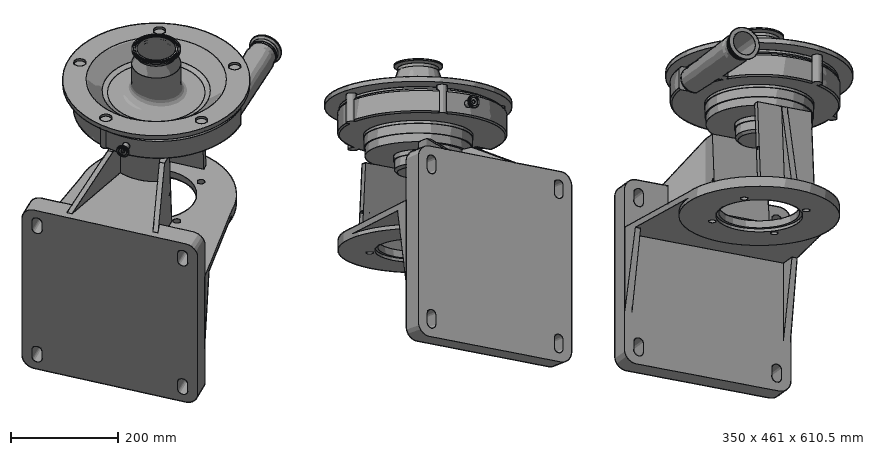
import cadquery as cq
import math


plate_width = 350.0
plate_height = 370.0
plate_thickness = 40.0
plate_corner_radius = 25.0
plate_outer_y = -250.0
plate_inner_y = plate_outer_y + plate_thickness
slot_width = 20.0
slot_length = 36.0
slot_spacing_x = 290.0
slot_spacing_z = 300.0

ring_radius = 150.0
ring_thickness = 20.0
ring_top_z = 270.5
shelf_thickness = 12.0
shelf_bottom_z = ring_top_z - shelf_thickness
shelf_root_half_width = 174.0
motor_bore_diameter = 151.0
motor_pilot_diameter = 162.0
motor_pilot_depth = 6.0
motor_bolt_circle = 184.0
motor_bolt_hole_diameter = 14.0
motor_bolt_count = 4
motor_bolt_first_angle = 45.0

under_rib_inner_x = 159.0
under_rib_reach = 35.0
under_rib_bottom_z = 103.0

pedestal_top_z = 433.5
pedestal_half_width = 56.5
pedestal_front_y = -108.0
pedestal_front_radius = 94.0
gusset_angle = 15.0
gusset_thickness = 10.0
gusset_end_y = -236.0
window_front_bottom_y = -69.0
window_back_bottom_y = 103.0
window_lean = 12.5
back_wall_thickness = 12.0
back_rib_thickness = 12.0
back_rib_foot_y = 143.0
guard_hole_diameter = 5.0
guard_hole_depth = 15.0
guard_hole_z = 340.5
guard_hole_front_y = -79.5
guard_hole_back_y = 102.5

housing_lower_radius = 99.5
housing_upper_radius = 101.5
housing_step_z = 450.0
housing_top_z = 468.5
stub_radius = 46.0
stub_end_radius = 44.5
stub_step_z = 424.5
stub_bottom_z = 402.0
stub_chamfer = 5.0

volute_bottom_z = 474.0
volute_hub_radius = 102.5
volute_top_z = 521.0
volute_mid_z = 497.5
volute_start_radius = 146.0
volute_growth_per_turn = 30.0
spiral_turns = 0.75
spiral_steps = 9
volute_top_bevel = 5.0
volute_bottom_bevel = 3.0
cover_lip_radius = 148.0
cover_lip_top_z = 526.0
cover_neck_radius = 140.0

flange_radius = 175.0
flange_bottom_z = 529.0
flange_top_z = 538.5
dish_rim_radius = 131.0
dish_cone_top_radius = 128.0
dish_cone_bottom_radius = 101.0
dish_floor_radius = 91.0
dish_rim_depth = 2.0
dish_cone_bottom_z = 512.0
dish_floor_z = 508.0
inlet_root_fillet = 20.0
inlet_radius = 46.0
inlet_cone_bottom_z = 576.0
inlet_cone_top_z = 598.0
inlet_neck_radius = 38.5
inlet_top_z = 610.5
inlet_bore_radius = 36.0
inlet_bore_wide_radius = 41.0
inlet_flare_top_z = 584.0
inlet_flare_bottom_z = 566.0
inlet_seal_groove_radius = 41.0
inlet_seal_groove_width = 3.0
inlet_seal_groove_depth = 1.5
ferrule_thickness = 3.0
ferrule_bevel = 3.5
inlet_ferrule_radius = 45.5

bolt_circle_radius = 152.0
bolt_count = 5
bolt_first_angle = 36.0
bolt_recess_diameter = 23.0
bolt_recess_depth = 5.0
pillar_diameter = 20.0

nozzle_x = 140.0
nozzle_end_y = 211.0
nozzle_ferrule_radius = 31.5
nozzle_neck_radius = 27.0
nozzle_neck_length = 34.5
nozzle_groove_start = 13.5
nozzle_groove_end = 18.5
nozzle_groove_depth = 0.8
nozzle_cone_start = 27.5
nozzle_collar_radius = 28.5
nozzle_root_radius = 25.0
nozzle_bore_radius = 23.0

drain_stem_radius = 7.0
drain_flange_radius = 12.0
drain_flange_thickness = 4.0
drain_end_y = -182.0
drain_bore_radius = 3.5
drain_recess_radius = 8.0
drain_recess_depth = 1.5
drain_flange_bevel = 1.0


def cylinder(radius, bottom_z, top_z):
    return cq.Workplane("XY").workplane(offset=bottom_z).circle(radius).extrude(top_z - bottom_z)


def mirrored_in_x(body):
    return body.union(body.mirror("YZ"))


def along_y(start_y, x, z):
    """Workplane whose extrusion runs toward +Y."""
    return cq.Workplane(cq.Plane(origin=(x, start_y, z), xDir=(1, 0, 0), normal=(0, 1, 0)))


def make_wall_plate():
    plate = cq.Workplane("XY").box(plate_width, plate_thickness, plate_height)
    plate = plate.edges("|Y").fillet(plate_corner_radius)
    slots = (
        cq.Workplane("XZ")
        .rarray(slot_spacing_x, slot_spacing_z, 2, 2)
        .slot2D(slot_length, slot_width, 90)
        .extrude(plate_thickness, both=True)
    )
    middle_y = (plate_outer_y + plate_inner_y) / 2
    return plate.cut(slots).translate((0, middle_y, plate_height / 2))


def make_shelf_slab(bottom_z):
    """Tapered shelf outline, filled from bottom_z up to the top of the shelf."""
    return (
        cq.Workplane("XY")
        .workplane(offset=bottom_z)
        .moveTo(-ring_radius, 0)
        .lineTo(-shelf_root_half_width, plate_inner_y)
        .lineTo(shelf_root_half_width, plate_inner_y)
        .lineTo(ring_radius, 0)
        .close()
        .extrude(ring_top_z - bottom_z)
    )


def make_shelf():
    ring = cylinder(ring_radius, ring_top_z - ring_thickness, ring_top_z)
    shelf = make_shelf_slab(shelf_bottom_z)
    bore = cylinder(motor_bore_diameter / 2, 0, ring_top_z)
    pilot_bottom_z = ring_top_z - ring_thickness
    pilot = cylinder(motor_pilot_diameter / 2, pilot_bottom_z, pilot_bottom_z + motor_pilot_depth)
    bolts = (
        cq.Workplane("XY")
        .polarArray(motor_bolt_circle / 2, motor_bolt_first_angle, 360, motor_bolt_count)
        .circle(motor_bolt_hole_diameter / 2)
        .extrude(ring_top_z)
    )
    return ring.union(shelf).cut(bore).cut(pilot).cut(bolts)


def make_under_ribs():
    rib = (
        cq.Workplane("YZ")
        .workplane(offset=under_rib_inner_x)
        .moveTo(plate_inner_y, shelf_bottom_z)
        .lineTo(plate_inner_y + under_rib_reach, shelf_bottom_z)
        .lineTo(plate_inner_y, under_rib_bottom_z)
        .close()
        .extrude(shelf_root_half_width - under_rib_inner_x)
    )
    return mirrored_in_x(rib).intersect(make_shelf_slab(under_rib_bottom_z))


def make_gusset_side_profile():
    """Slab bounding the front wall and gussets: full height at the wall, sloping to the plate."""
    return (
        cq.Workplane("YZ")
        .moveTo(0, ring_top_z)
        .lineTo(0, pedestal_top_z)
        .lineTo(pedestal_front_y, pedestal_top_z)
        .lineTo(gusset_end_y, plate_height)
        .lineTo(plate_inner_y, plate_height)
        .lineTo(plate_inner_y, ring_top_z)
        .close()
        .extrude(plate_width, both=True)
    )


def make_front_pedestal():
    height = pedestal_top_z - ring_top_z
    base = cq.Workplane("XY").workplane(offset=ring_top_z)
    spread = math.tan(math.radians(gusset_angle))
    gusset_x_width = gusset_thickness / math.cos(math.radians(gusset_angle))
    end_outer_x = pedestal_half_width + (pedestal_front_y - gusset_end_y) * spread
    end_inner_x = end_outer_x - gusset_x_width
    front_inner_x = pedestal_half_width - gusset_x_width
    axis_inner_x = front_inner_x + pedestal_front_y * spread
    wall = base.polyline(
        [
            (-pedestal_half_width, 0),
            (-pedestal_half_width, pedestal_front_y),
            (-end_outer_x, gusset_end_y),
            (end_outer_x, gusset_end_y),
            (pedestal_half_width, pedestal_front_y),
            (pedestal_half_width, 0),
        ]
    ).close().extrude(height)
    between_gussets = base.polyline(
        [
            (-axis_inner_x, 0),
            (-end_inner_x, gusset_end_y),
            (end_inner_x, gusset_end_y),
            (axis_inner_x, 0),
        ]
    ).close().extrude(height)
    curved_core = cylinder(pedestal_front_radius, ring_top_z, pedestal_top_z)
    deck = base.rect(plate_width, -2 * gusset_end_y).extrude(plate_height - ring_top_z)
    window = (
        cq.Workplane("YZ")
        .moveTo(0, ring_top_z)
        .lineTo(window_front_bottom_y, ring_top_z)
        .lineTo(window_front_bottom_y - window_lean, pedestal_top_z)
        .lineTo(0, pedestal_top_z)
        .close()
        .extrude(plate_width, both=True)
    )
    body = wall.cut(between_gussets.cut(curved_core).cut(deck))
    return body.intersect(make_gusset_side_profile()).cut(window)


def make_back_pedestal():
    window_top_y = window_back_bottom_y - window_lean
    wall = (
        cq.Workplane("YZ")
        .moveTo(window_back_bottom_y, ring_top_z)
        .lineTo(window_top_y, pedestal_top_z)
        .lineTo(window_top_y + back_wall_thickness, pedestal_top_z)
        .lineTo(window_back_bottom_y + back_wall_thickness, ring_top_z)
        .close()
        .extrude(pedestal_half_width, both=True)
    )
    rib = (
        cq.Workplane("YZ")
        .moveTo(window_back_bottom_y, ring_top_z)
        .lineTo(window_top_y, pedestal_top_z)
        .lineTo(window_top_y + back_wall_thickness, pedestal_top_z)
        .lineTo(back_rib_foot_y, ring_top_z)
        .close()
        .extrude(back_rib_thickness / 2, both=True)
    )
    return wall.union(rib)


def make_guard_holes():
    holes = (
        cq.Workplane("YZ")
        .workplane(offset=pedestal_half_width - guard_hole_depth)
        .pushPoints([(guard_hole_front_y, guard_hole_z), (guard_hole_back_y, guard_hole_z)])
        .circle(guard_hole_diameter / 2)
        .extrude(guard_hole_depth)
    )
    return mirrored_in_x(holes)


def make_bearing_housing():
    lower = cylinder(housing_lower_radius, pedestal_top_z, housing_step_z)
    upper = cylinder(housing_upper_radius, housing_step_z, housing_top_z)
    stub = cylinder(stub_radius, stub_step_z, pedestal_top_z)
    stub_end = cylinder(stub_end_radius, stub_bottom_z, stub_step_z).faces("<Z").chamfer(stub_chamfer)
    return lower.union(upper).union(stub).union(stub_end)


def volute_point(turn):
    """Point on the casing spiral; it starts at +Y and runs by -X and -Y to +X."""
    radius = volute_start_radius + volute_growth_per_turn * turn
    angle = math.pi / 2 + 2 * math.pi * turn
    return (radius * math.cos(angle), radius * math.sin(angle))


def make_volute():
    spiral_points = [volute_point(spiral_turns * step / spiral_steps) for step in range(spiral_steps + 1)]
    spiral = (
        cq.Workplane("XY")
        .workplane(offset=volute_bottom_z)
        .lineTo(*spiral_points[0])
        .spline(spiral_points[1:], includeCurrent=True)
        .close()
        .extrude(volute_top_z - volute_bottom_z)
    )
    spiral = spiral.edges("%BSPLINE").edges(">Z").chamfer(volute_top_bevel)
    spiral = spiral.edges("%BSPLINE").edges("<Z").chamfer(volute_bottom_bevel)
    disc = cylinder(volute_start_radius, volute_bottom_z, volute_top_z)
    disc = disc.edges(">Z").chamfer(volute_top_bevel).edges("<Z").chamfer(volute_bottom_bevel)
    casing = spiral.union(disc)
    hub = cylinder(volute_hub_radius, housing_top_z, volute_bottom_z)
    lip = cylinder(cover_lip_radius, volute_top_z, cover_lip_top_z)
    neck = cylinder(cover_neck_radius, cover_lip_top_z, flange_bottom_z)
    return casing.union(hub).union(lip).union(neck)


def make_pillars():
    return (
        cq.Workplane("XY")
        .workplane(offset=volute_bottom_z)
        .polarArray(bolt_circle_radius, bolt_first_angle, 360, bolt_count)
        .circle(pillar_diameter / 2)
        .extrude(flange_bottom_z - volute_bottom_z)
    )


def make_bolt_recesses():
    return (
        cq.Workplane("XY")
        .workplane(offset=flange_top_z - bolt_recess_depth)
        .polarArray(bolt_circle_radius, bolt_first_angle, 360, bolt_count)
        .circle(bolt_recess_diameter / 2)
        .extrude(bolt_recess_depth)
    )


def make_dish():
    """Hollow of the cover around the inlet, ready to be cut away."""
    fillet_start_radius = inlet_radius + inlet_root_fillet
    fillet_middle = inlet_root_fillet * (1 - math.sqrt(0.5))
    return (
        cq.Workplane("XZ")
        .moveTo(inlet_radius, flange_top_z)
        .lineTo(inlet_radius, dish_floor_z + inlet_root_fillet)
        .threePointArc(
            (inlet_radius + fillet_middle, dish_floor_z + fillet_middle),
            (fillet_start_radius, dish_floor_z),
        )
        .lineTo(dish_floor_radius, dish_floor_z)
        .lineTo(dish_cone_bottom_radius, dish_cone_bottom_z)
        .lineTo(dish_cone_top_radius, flange_top_z - dish_rim_depth)
        .lineTo(dish_rim_radius, flange_top_z)
        .close()
        .revolve(360, (0, 0, 0), (0, 1, 0))
    )


def make_inlet():
    return (
        cq.Workplane("XZ")
        .moveTo(0, volute_top_z)
        .lineTo(inlet_radius, volute_top_z)
        .lineTo(inlet_radius, inlet_cone_bottom_z)
        .lineTo(inlet_neck_radius, inlet_cone_top_z)
        .lineTo(inlet_neck_radius, inlet_top_z - ferrule_thickness - ferrule_bevel)
        .lineTo(inlet_ferrule_radius, inlet_top_z - ferrule_thickness)
        .lineTo(inlet_ferrule_radius, inlet_top_z)
        .lineTo(0, inlet_top_z)
        .close()
        .revolve(360, (0, 0, 0), (0, 1, 0))
    )


def make_inlet_bore():
    return (
        cq.Workplane("XZ")
        .moveTo(0, volute_mid_z)
        .lineTo(inlet_bore_wide_radius, volute_mid_z)
        .lineTo(inlet_bore_wide_radius, inlet_flare_bottom_z)
        .lineTo(inlet_bore_radius, inlet_flare_top_z)
        .lineTo(inlet_bore_radius, inlet_top_z)
        .lineTo(0, inlet_top_z)
        .close()
        .revolve(360, (0, 0, 0), (0, 1, 0))
    )


def make_inlet_seal_groove():
    groove_bottom_z = inlet_top_z - inlet_seal_groove_depth
    outer = cylinder(inlet_seal_groove_radius + inlet_seal_groove_width / 2, groove_bottom_z, inlet_top_z)
    inner = cylinder(inlet_seal_groove_radius - inlet_seal_groove_width / 2, groove_bottom_z, inlet_top_z)
    return outer.cut(inner)


def make_nozzle():
    groove_radius = nozzle_neck_radius - nozzle_groove_depth
    body = (
        cq.Workplane("XY")
        .lineTo(nozzle_root_radius, 0)
        .lineTo(nozzle_collar_radius, nozzle_end_y - nozzle_neck_length)
        .lineTo(nozzle_neck_radius, nozzle_end_y - nozzle_cone_start)
        .lineTo(nozzle_neck_radius, nozzle_end_y - nozzle_groove_end)
        .lineTo(groove_radius, nozzle_end_y - nozzle_groove_end)
        .lineTo(groove_radius, nozzle_end_y - nozzle_groove_start)
        .lineTo(nozzle_neck_radius, nozzle_end_y - nozzle_groove_start)
        .lineTo(nozzle_neck_radius, nozzle_end_y - ferrule_thickness - ferrule_bevel)
        .lineTo(nozzle_ferrule_radius, nozzle_end_y - ferrule_thickness)
        .lineTo(nozzle_ferrule_radius, nozzle_end_y)
        .lineTo(0, nozzle_end_y)
        .close()
        .revolve(360, (0, 0, 0), (0, 1, 0))
    )
    return body.translate((nozzle_x, 0, volute_mid_z))


def make_drain():
    flange_inner_y = drain_end_y + drain_flange_thickness
    stem_length = -volute_start_radius - flange_inner_y
    flange = along_y(drain_end_y, 0, volute_mid_z).circle(drain_flange_radius).extrude(drain_flange_thickness)
    stem = along_y(flange_inner_y, 0, volute_mid_z).circle(drain_stem_radius).extrude(stem_length)
    bore = along_y(drain_end_y, 0, volute_mid_z).circle(drain_bore_radius).extrude(drain_flange_thickness)
    recess = along_y(drain_end_y, 0, volute_mid_z).circle(drain_recess_radius).extrude(drain_recess_depth)
    return flange.edges("<Y").chamfer(drain_flange_bevel).union(stem).cut(bore).cut(recess)


bracket = make_wall_plate().union(make_shelf()).union(make_under_ribs())
bracket = bracket.union(make_front_pedestal()).union(make_back_pedestal()).cut(make_guard_holes())

cover = cylinder(flange_radius, flange_bottom_z, flange_top_z)
pump = make_bearing_housing().union(make_volute()).union(make_pillars()).union(make_nozzle())
pump = pump.union(cover).cut(make_dish()).cut(make_bolt_recesses())
pump = pump.union(make_inlet()).union(make_drain())

nozzle_bore = along_y(0, nozzle_x, volute_mid_z).circle(nozzle_bore_radius).extrude(nozzle_end_y)
pump = pump.cut(make_inlet_bore()).cut(make_inlet_seal_groove()).cut(nozzle_bore)

result = bracket.union(pump)